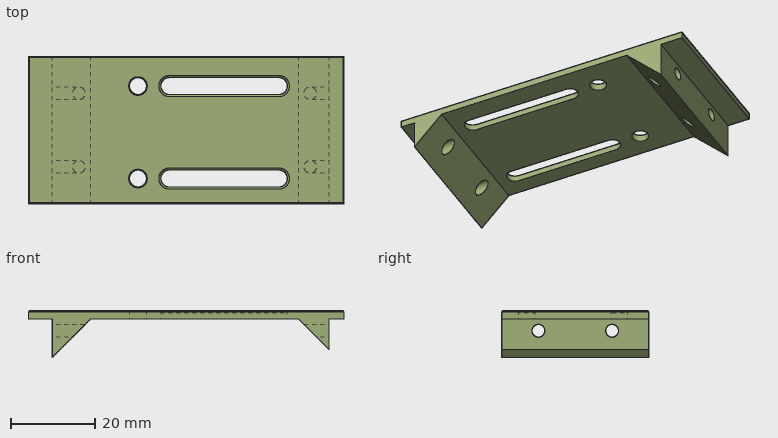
import cadquery as cq

length = 75
width = 35.0
total_height = 11.2
plate_thickness = 2.0
edge_chamfer = 0.3

left_leg_inset = 5.6
left_leg_depth = total_height - plate_thickness
right_leg_inset = 3.5
right_leg_depth = 7.3

row_spacing = 22.0
back_row_margin = 7.05
back_row_y = width / 2 - back_row_margin
row_positions = (back_row_y, back_row_y - row_spacing)
hole_diameter = 4.0
hole_x = -11.5
hole_chamfer = 0.2
slot_length = 30
slot_width = hole_diameter
slot_x = 9
slot_chamfer = 0.5

cross_hole_diameter = 3
cross_hole_spacing = width / 2
cross_hole_drop = 2.8


def make_plate():
    plate = cq.Workplane("XY").box(length, width, plate_thickness, centered=(True, True, False))
    return plate.faces(">Z").edges().chamfer(edge_chamfer)


def make_leg(outer_x, depth, inward):
    """Triangular leg; inward is +1 or -1, the X direction of its sloped side."""
    profile = [(outer_x, 0), (outer_x, -depth), (outer_x + inward * depth, 0)]
    return cq.Workplane("XZ").polyline(profile).close().extrude(width / 2, both=True)


def chamfered_cutter(outline, chamfer):
    """Through cutter that widens at 45 degrees to the top of the plate."""
    shaft = outline(0).extrude(plate_thickness)
    flare = outline(chamfer).extrude(-chamfer, taper=45)
    return shaft.union(flare.translate((0, 0, plate_thickness)))


def hole_outline(offset):
    return cq.Workplane("XY").circle(hole_diameter / 2 + offset)


def slot_outline(offset):
    return cq.Workplane("XY").slot2D(slot_length + 2 * offset, slot_width + 2 * offset)


left_leg = make_leg(-length / 2 + left_leg_inset, left_leg_depth, 1)
right_leg = make_leg(length / 2 - right_leg_inset, right_leg_depth, -1)
result = make_plate().union(left_leg).union(right_leg)

hole_cutter = chamfered_cutter(hole_outline, hole_chamfer)
slot_cutter = chamfered_cutter(slot_outline, slot_chamfer)
for row_y in row_positions:
    result = result.cut(hole_cutter.translate((hole_x, row_y, 0)))
    result = result.cut(slot_cutter.translate((slot_x, row_y, 0)))

cross_holes = (
    cq.Workplane("YZ")
    .pushPoints([(side * cross_hole_spacing / 2, -cross_hole_drop) for side in (-1, 1)])
    .circle(cross_hole_diameter / 2)
    .extrude(length / 2, both=True)
)
result = result.cut(cross_holes)